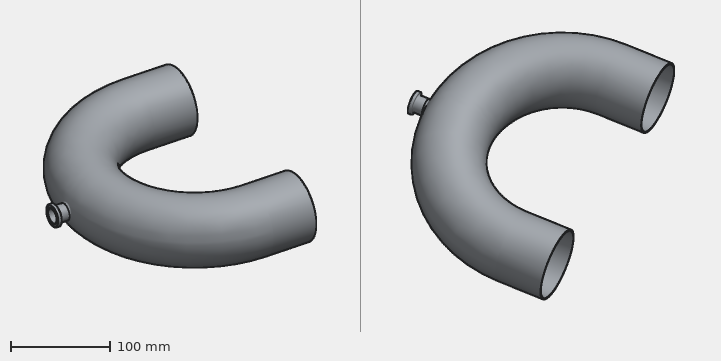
import cadquery as cq

tube_od = 76.2
tube_id = 72.8
bend_radius = 114.3
leg_length = 51.0

outlet_height = 1.2
outlet_fillet = 1.5

ferrule_length = 14.5
neck_od = 19.0
ferrule_bore = 16.0

flange_od = 25.0
flange_thickness = 4.0
rim_fillet = 0.5
neck_fillet = 1.2

groove_od = 22.0
groove_id = 17.5

bend_outer_radius = bend_radius + tube_od / 2
outlet_end_y = -bend_outer_radius - outlet_height
ferrule_face_y = outlet_end_y - ferrule_length
flange_back_y = ferrule_face_y + flange_thickness


def u_bar(diameter):
    """Solid round bar: a half-circle bend with a straight leg on each end."""
    path = (
        cq.Workplane("XY")
        .moveTo(-bend_radius, leg_length)
        .lineTo(-bend_radius, 0)
        .threePointArc((0, -bend_radius), (bend_radius, 0))
        .lineTo(bend_radius, leg_length)
    )
    return cq.Workplane("XZ", origin=(-bend_radius, leg_length, 0)).circle(diameter / 2).sweep(path)


def port_rod(diameter, start_y, end_y):
    """Round rod on the port axis, running in -Y from start_y to end_y."""
    return cq.Workplane("XZ", origin=(0, start_y, 0)).circle(diameter / 2).extrude(start_y - end_y)


def make_elbow():
    """U-bend tube with a filleted outlet at the middle of the bend."""
    outlet = port_rod(neck_od, -bend_radius, outlet_end_y)
    outlet_root = cq.selectors.BoxSelector(
        (-neck_od, outlet_end_y, -neck_od), (neck_od, -bend_radius, neck_od)
    )
    outside = u_bar(tube_od).union(outlet)
    outside = outside.edges(outlet_root).edges("not %CIRCLE").fillet(outlet_fillet)
    outlet_bore = port_rod(ferrule_bore, -bend_radius, outlet_end_y)
    return outside.cut(u_bar(tube_id)).cut(outlet_bore)


def gasket_groove():
    """Ring of round section centred on the flange face."""
    section_radius = (groove_od - groove_id) / 4
    ring_radius = (groove_od + groove_id) / 4
    return (
        cq.Workplane("XY")
        .center(ring_radius, ferrule_face_y)
        .circle(section_radius)
        .revolve(360, (-ring_radius, 0), (-ring_radius, 1))
    )


def make_ferrule():
    """Tube neck with a rounded clamp flange and a gasket groove in its face."""
    neck = port_rod(neck_od, outlet_end_y, flange_back_y)
    flange = port_rod(flange_od, flange_back_y, ferrule_face_y)
    body = neck.union(flange)
    body = body.edges("%CIRCLE").edges(cq.selectors.RadiusNthSelector(0)).edges("<Y").fillet(neck_fillet)
    body = body.edges("%CIRCLE").edges(cq.selectors.RadiusNthSelector(-1)).fillet(rim_fillet)
    bore = port_rod(ferrule_bore, outlet_end_y, ferrule_face_y)
    return body.cut(bore).cut(gasket_groove())


elbow = make_elbow()
ferrule = make_ferrule()

result = cq.Compound.makeCompound([elbow.val(), ferrule.val()])